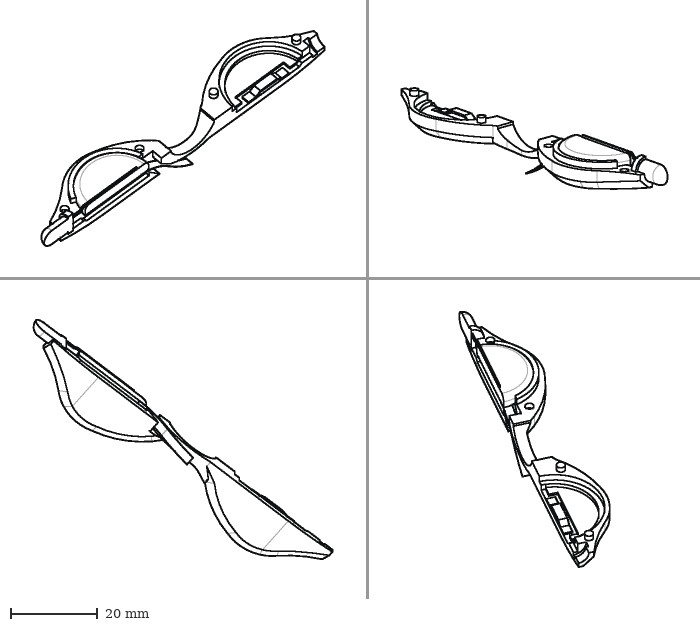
import cadquery as cq
import math


cell_y = 24.0
shell_radius = 12.7
shell_depth = 5.2
tip_y = 41.6
tip_half_width = 3.7
tip_depth = 3.7
taper_start_y = 28.35
rim_chamfer = 2.3
rim_end_y = 32.7
rim_start_y = 20.2
neck_y = 7.9
neck_half_width = 5.4
tip_curve_middle = (-5.8, 37.5)
neck_curve_middle = (-8.95, 12.5)
tray_end_y = 5.7

hinge_half_width = 2.9
hinge_face_y = 6.8
hinge_face_depth = 0.6
hinge_top = -4.8
hinge_bottom = -6.0
hinge_neck_depth = 4.1
hinge_flare = (-3.8, 4.9)
hinge_curve_end_y = 0.8

pin_diameter = 2.0
pin_height = 1.3
hole_depth = 1.4
pin_places = [(-4.2, 36.6), (-5.5, 11.7)]

led_radius = 2.5
led_flange_radius = 3.1
led_flange_y = 37.8
led_flange_length = 1.5
led_tip_y = 47.0

cell_radius = 10.0
cell_top = 2.4
cell_bottom = -0.84
cell_edge_radius = 1.4

ring_radius = 11.25
ring_height = 1.6
ring_gap_angle = 23.0
lip_recess_radius = 11.5
cell_bore_radius = 10.2
cell_bore_depth = 2.6

lead_thickness = 0.5
lead_half_width = 0.31
lead_low_z = 1.5
lead_bend_start = 35.4
lead_bend_end = 34.55
lead_end_y = 17.5
channel_half_width = 1.1
channel_slope_start = 34.5
channel_slope_end = 33.6
channel_depth = 2.4
contact_bed_depth = 3.1
contact_bed_half_width = 3.2
contact_bed_half_length = 7.6

contact_half_width = 2.2
contact_half_length = 6.4
contact_thickness = 0.4
bump_foot = 4.1
bump_crest = 2.7
bump_height = 1.1

strip_half_width = 2.2
strip_thickness = 0.2
strip_bend = (-7.7, -4.8)
strip_middle = (-3.8, -8.15)
strip_free_end = (-0.1, -10.4)
strip_flat_start = -14.6
strip_flat_end = -15.95
slot_wall_y = -9.9
slot_wall_depth = 2.1
slot_exit_y = -10.45
slot_floor_y = -14.7
slot_roof_end = (-6.9, -4.6)

MARGIN = 0.9


def box(half_width, y_a, y_b, z_a, z_b):
    """Block from the section face outward to half_width."""
    block = cq.Workplane("XY").box(half_width, y_b - y_a, z_b - z_a, centered=False)
    return block.translate((-half_width, y_a, z_a))


def post(x, y, radius, z_a, z_b):
    return cq.Workplane("XY", origin=(x, y, z_a)).circle(radius).extrude(z_b - z_a)


def side_plate(profile, half_width):
    """Extrude a closed YZ profile from the section face outward to half_width."""
    return profile.extrude(-half_width)


def section_half(body):
    """Part of a full round body on the -X side of the section face."""
    reach = 2 * tip_y
    return body.intersect(box(reach, -reach, reach, -reach, reach))


def mirrored(body):
    """Copy on the other side of the hinge."""
    return body.mirror("XZ")


def shell_outline(end_points):
    """Plan outline at the underside level; end_points lead from the neck to the section face."""
    def rim_point(y):
        return (-math.sqrt(shell_radius**2 - (y - cell_y) ** 2), y)

    return (
        cq.Workplane("XY", origin=(0, 0, -shell_depth))
        .moveTo(0, tip_y)
        .lineTo(-tip_half_width, tip_y)
        .threePointArc(tip_curve_middle, rim_point(rim_end_y))
        .threePointArc((-shell_radius, cell_y), rim_point(rim_start_y))
        .threePointArc(neck_curve_middle, (-neck_half_width, neck_y))
        .polyline(end_points, includeCurrent=True)
        .close()
    )


def tip_taper():
    """Cutter for the part below the curved underside near the tip."""
    rise = shell_depth - tip_depth
    run = tip_y - taper_start_y
    taper_radius = (run**2 + rise**2) / (2 * rise)
    curve_axis = cq.Workplane("YZ").center(taper_start_y, taper_radius - shell_depth)
    curve = side_plate(curve_axis.circle(taper_radius), shell_radius)
    return box(shell_radius, taper_start_y, tip_y, -shell_depth, 0).cut(curve)


def shell_blank(end_points, chamfer_start_y):
    """Lid-side blank whose lower rim is chamfered from chamfer_start_y to the tip."""
    blank = shell_outline(end_points).extrude(shell_depth).cut(tip_taper())
    rim = cq.selectors.BoxSelector(
        (-shell_radius, chamfer_start_y, -shell_depth - MARGIN),
        (-MARGIN, tip_y - MARGIN, -tip_depth),
    )

    def is_not_taper_seam(edge):
        return abs(edge.Center().y - taper_start_y) > MARGIN

    return blank.edges(rim).filter(is_not_taper_seam).chamfer(rim_chamfer)


def hinge_strip():
    """Curved strip: its plan outline cut to the hinge's arched side profile."""
    plan = (
        cq.Workplane("XY", origin=(0, 0, hinge_bottom))
        .moveTo(0, neck_y)
        .lineTo(-neck_half_width, neck_y)
        .lineTo(*hinge_flare)
        .tangentArcPoint((-hinge_half_width, hinge_curve_end_y), relative=False)
        .lineTo(-hinge_half_width, -neck_y)
        .lineTo(0, -neck_y)
        .close()
        .extrude(-hinge_bottom)
    )
    arch = (
        cq.Workplane("YZ")
        .moveTo(neck_y, 0)
        .lineTo(neck_y, -hinge_neck_depth)
        .threePointArc((0, hinge_bottom), (-neck_y, -hinge_neck_depth))
        .lineTo(-neck_y, 0)
        .close()
    )
    return plan.intersect(side_plate(arch, shell_radius))


def hinge_hollow():
    hollow = (
        cq.Workplane("YZ")
        .moveTo(-hinge_face_y, MARGIN)
        .lineTo(-hinge_face_y, -hinge_face_depth)
        .threePointArc((0, hinge_top), (hinge_face_y, -hinge_face_depth))
        .lineTo(hinge_face_y, MARGIN)
        .close()
    )
    return side_plate(hollow, shell_radius)


def lead_channel():
    """Channel from the LED seat that slopes down to the level of the contact bed."""
    profile = cq.Workplane("YZ").polyline([
        (led_flange_y, MARGIN),
        (led_flange_y, -channel_depth),
        (channel_slope_start, -channel_depth),
        (channel_slope_end, -contact_bed_depth),
        (cell_y - cell_bore_radius, -contact_bed_depth),
        (cell_y - cell_bore_radius, MARGIN),
    ]).close()
    return side_plate(profile, channel_half_width)


def lid_recesses():
    lip_recess = post(0, cell_y, lip_recess_radius, -ring_height, MARGIN)
    cell_bore = post(0, cell_y, cell_bore_radius, -cell_bore_depth, MARGIN)
    bed_start = cell_y - contact_bed_half_length
    bed_end = cell_y + contact_bed_half_length
    contact_bed = box(contact_bed_half_width, bed_start, bed_end, -contact_bed_depth, 0)
    return lip_recess.union(cell_bore).union(contact_bed).union(lead_channel())


def locating_ring():
    """Raised arc around the coin cell, open at the pull slot and towards the LED."""
    ring = post(0, -cell_y, ring_radius, 0, ring_height)
    slot_gap = box(hinge_half_width, -cell_y, 0, 0, ring_height)
    gap_reach = 2 * ring_radius
    gap_half_width = gap_reach * math.tan(math.radians(ring_gap_angle))
    led_gap = (
        cq.Workplane("XY")
        .polyline([(0, -cell_y), (-gap_half_width, -cell_y - gap_reach), (0, -cell_y - gap_reach)])
        .close()
        .extrude(ring_height)
    )
    return section_half(ring).cut(slot_gap).cut(led_gap)


def pull_slot():
    """Slanted slot that lets the pull strip out through the tray's underside."""
    slot_end_y = strip_flat_end - strip_thickness / 2
    slot = cq.Workplane("YZ").polyline([
        (slot_end_y, 0),
        (slot_wall_y, 0),
        (slot_wall_y, -slot_wall_depth),
        slot_roof_end,
        (slot_roof_end[0], -shell_depth - MARGIN),
        (slot_exit_y, -shell_depth - MARGIN),
        (slot_exit_y, -shell_depth),
        (slot_floor_y, cell_bottom - strip_thickness),
        (slot_end_y, cell_bottom - strip_thickness),
    ]).close()
    return side_plate(slot, hinge_half_width)


def make_housing():
    pin_radius = pin_diameter / 2

    lid = shell_blank([hinge_flare, (0, hinge_flare[1])], hinge_flare[1] + MARGIN)
    lid = lid.cut(mirrored(make_led())).cut(lid_recesses())
    for x, y in pin_places:
        lid = lid.union(post(x, y, pin_radius, -MARGIN, pin_height))

    tray = shell_blank([(-hinge_half_width, tray_end_y), (0, tray_end_y)], 0)
    tray = mirrored(tray).union(locating_ring())
    tray = tray.cut(make_led()).cut(mirrored(lead_channel()))
    for x, y in pin_places:
        tray = tray.cut(post(x, -y, pin_radius, -hole_depth, MARGIN))

    housing = lid.union(hinge_strip()).union(tray).cut(hinge_hollow())
    cell_pocket = post(0, -cell_y, cell_radius, cell_bottom, ring_height)
    return housing.cut(cell_pocket).cut(pull_slot())


def make_coin_cell():
    cell = post(0, -cell_y, cell_radius, cell_bottom, cell_top)
    return section_half(cell.faces(">Z").edges().fillet(cell_edge_radius))


def make_led():
    """Half LED: flange, round barrel and domed end, turned about the Y axis."""
    flange_end_y = -led_flange_y - led_flange_length
    dome_y = -led_tip_y + led_radius
    dome_middle = led_radius * math.sin(math.pi / 4)
    profile = (
        cq.Workplane("YZ")
        .moveTo(-led_flange_y, 0)
        .lineTo(-led_flange_y, led_flange_radius)
        .lineTo(flange_end_y, led_flange_radius)
        .lineTo(flange_end_y, led_radius)
        .lineTo(dome_y, led_radius)
        .threePointArc((dome_y - dome_middle, dome_middle), (-led_tip_y, 0))
        .close()
    )
    return profile.revolve(180, (0, 0, 0), (-1, 0, 0))


def make_lead():
    """Wire from the LED that steps up onto the coin cell's upper face."""
    profile = cq.Workplane("YZ").polyline([
        (-led_flange_y, lead_low_z),
        (-lead_bend_start, lead_low_z),
        (-lead_bend_end, cell_top),
        (-lead_end_y, cell_top),
        (-lead_end_y, cell_top + lead_thickness),
        (-lead_bend_end, cell_top + lead_thickness),
        (-lead_bend_start, lead_low_z + lead_thickness),
        (-led_flange_y, lead_low_z + lead_thickness),
    ]).close()
    return side_plate(profile, lead_half_width)


def make_contact():
    """Leaf spring with a raised middle, lying in the lid's contact bed."""
    crest = [
        (-contact_half_length, 0),
        (-bump_foot, 0),
        (-bump_crest, bump_height),
        (bump_crest, bump_height),
        (bump_foot, 0),
        (contact_half_length, 0),
    ]
    upper = [(y, z + contact_thickness) for y, z in reversed(crest)]
    profile = cq.Workplane("YZ").center(cell_y, -contact_bed_depth).polyline(crest + upper).close()
    return side_plate(profile, contact_half_width)


def make_pull_strip():
    """Thin strip from under the coin cell, through the slot and below the hinge."""
    middle = cell_bottom - strip_thickness / 2
    path = (
        cq.Workplane("YZ")
        .moveTo(*strip_free_end)
        .threePointArc(strip_middle, strip_bend)
        .tangentArcPoint((strip_flat_start, middle), relative=False)
        .lineTo(strip_flat_end, middle)
    )
    return side_plate(path.offset2D(strip_thickness / 2), strip_half_width)


housing = make_housing()
coin_cell = make_coin_cell()
led = make_led()
lead = make_lead()
contact = make_contact()
pull_strip = make_pull_strip()

result = cq.Compound.makeCompound([
    housing.val(),
    coin_cell.val(),
    led.val(),
    lead.val(),
    contact.val(),
    pull_strip.val(),
])